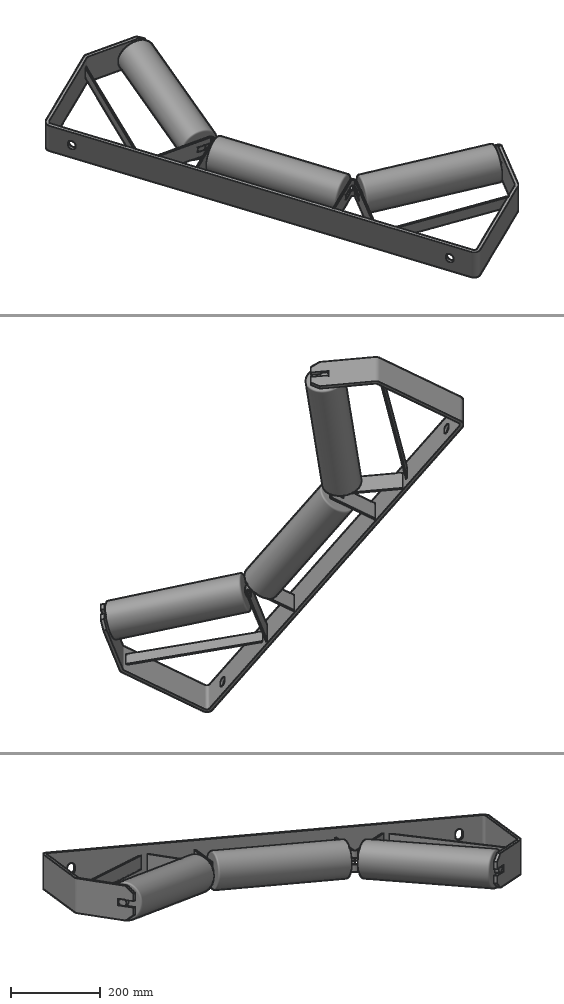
import cadquery as cq
import math


frame_length = 1050.0
strip_height = 80.0
strip_thickness = 8.0
strip_bend_radius = 15.0
trough_angle = 40.0
upright_height = 230.0
arm_length = 144.47
arm_tip_length = 20.0
arm_tip_height = 50.0

mounting_slot_x = 457.0
mounting_slot_width = 18.0
mounting_slot_length = 25.0

brace_thickness = 4.0
brace_height = 32.0
brace_top_y = 226.0
brace_foot_x = 292.0

bracket_thickness = 4.0
bracket_height = 50.0
bracket_top_y = 130.0
bracket_bend_radius = 8.0

roller_diameter = 89.0
roller_length = 315.0
roller_edge_radius = 4.0
shaft_diameter = 20.0
shaft_flat_width = 15.0
middle_roller_y = 102.0
inner_seat_drop = 6.85
seat_gap = 6.0
arm_seat_depth = 30.6

slot_clearance = 2.0
slot_cut_depth = 60.0

half_length = frame_length / 2
half_height = strip_height / 2
angle = math.radians(trough_angle)
along_arm = (math.sin(angle), math.cos(angle))
along_roller = (math.cos(angle), -math.sin(angle))
half_span = roller_length / 2 + seat_gap
side_tilt = math.degrees(math.asin(inner_seat_drop / (2 * half_span)))


def offset(point, direction, distance):
    return (point[0] + direction[0] * distance, point[1] + direction[1] * distance)


def on_circle(centre, radius, degrees):
    a = math.radians(degrees)
    return offset(centre, (math.cos(a), math.sin(a)), radius)


def centred_plate(outline, height):
    """Close an XY outline and extrude it evenly about Z = 0."""
    return outline.close().extrude(height).translate((0, 0, -height / 2))


base_bend = (-half_length + strip_bend_radius, strip_bend_radius)
arm_bend = (base_bend[0], upright_height)
arm_start = 180 - trough_angle
outer_tip = offset(on_circle(arm_bend, strip_bend_radius, arm_start), along_arm, arm_length)
inner_tip = offset(outer_tip, along_roller, strip_thickness)

outer_seat = offset(inner_tip, along_arm, -arm_seat_depth)
side_centre = offset(outer_seat, along_roller, half_span)
inner_seat = offset(side_centre, along_roller, half_span)


def place_middle(shape):
    return shape.translate((0, middle_roller_y, -inner_seat_drop))


def place_left(shape):
    tilted = shape.rotate((0, 0, 0), (0, 1, 0), side_tilt)
    sloped = tilted.rotate((0, 0, 0), (0, 0, 1), -trough_angle)
    return sloped.translate((*side_centre, -inner_seat_drop / 2))


def seat_slot(end, plate_thickness):
    """Cutter for the shaft at one end (-1 or 1) of a roller along X, open towards +Y."""
    middle = half_span + plate_thickness / 2
    return (
        cq.Workplane("XY")
        .box(plate_thickness + 2 * slot_clearance, slot_cut_depth, shaft_flat_width)
        .translate((end * middle, (slot_cut_depth - shaft_diameter) / 2, 0))
    )


def bent_strip():
    """Left half of the strip: base, upright and inclined arm."""
    inner_radius = strip_bend_radius - strip_thickness
    arm_middle = 180 - trough_angle / 2
    outline = (
        cq.Workplane("XY")
        .moveTo(0, 0)
        .lineTo(base_bend[0], 0)
        .threePointArc(on_circle(base_bend, strip_bend_radius, 225), (-half_length, base_bend[1]))
        .lineTo(-half_length, upright_height)
        .threePointArc(
            on_circle(arm_bend, strip_bend_radius, arm_middle),
            on_circle(arm_bend, strip_bend_radius, arm_start),
        )
        .lineTo(*outer_tip)
        .lineTo(*inner_tip)
        .lineTo(*on_circle(arm_bend, inner_radius, arm_start))
        .threePointArc(
            on_circle(arm_bend, inner_radius, arm_middle),
            on_circle(arm_bend, inner_radius, 180),
        )
        .lineTo(*on_circle(base_bend, inner_radius, 180))
        .threePointArc(
            on_circle(base_bend, inner_radius, 225),
            on_circle(base_bend, inner_radius, 270),
        )
        .lineTo(0, strip_thickness)
    )
    strip = centred_plate(outline, strip_height)
    for side in (1, -1):
        strip = strip.cut(arm_taper(side))
    return strip.cut(mounting_slot()).cut(place_left(seat_slot(-1, strip_thickness)))


def arm_taper(side):
    """Wedge that tapers the upper (1) or lower (-1) edge of the arm towards its tip."""
    tip_plane = cq.Plane(
        origin=(*outer_tip, 0),
        xDir=(*along_arm, 0),
        normal=(*along_roller, 0),
    )
    return (
        cq.Workplane(tip_plane)
        .moveTo(0, side * half_height)
        .lineTo(-arm_tip_length, side * half_height)
        .lineTo(0, side * arm_tip_height / 2)
        .close()
        .extrude(2 * strip_thickness, both=True)
    )


def mounting_slot():
    return (
        cq.Workplane("XZ")
        .center(-mounting_slot_x, 0)
        .slot2D(mounting_slot_length, mounting_slot_width, 90)
        .extrude(-strip_thickness)
    )


def brace():
    """Flat bar from the upright to the base, its ends run halfway into the strip."""
    top = (-half_length + strip_thickness, brace_top_y)
    foot = (-brace_foot_x, strip_thickness)
    length = math.dist(top, foot)
    direction = ((foot[0] - top[0]) / length, (foot[1] - top[1]) / length)
    below = (direction[1], -direction[0])
    start = offset(top, direction, -strip_thickness / 2)
    end = offset(foot, direction, strip_thickness / 2)
    outline = (
        cq.Workplane("XY")
        .moveTo(*start)
        .lineTo(*end)
        .lineTo(*offset(end, below, brace_thickness))
        .lineTo(*offset(start, below, brace_thickness))
    )
    return centred_plate(outline, brace_height)


def bracket():
    """Folded plate: an upright leg for the middle roller and a sloping leg for the side roller."""
    foot_y = strip_thickness / 2
    inside_top_y = bracket_top_y - bracket_thickness
    fold_y = bracket_top_y - bracket_bend_radius
    fold_x = -half_span - bracket_bend_radius
    upper_face = inner_seat
    lower_face = offset(inner_seat, along_roller, bracket_thickness)

    def sloping_point(face, y):
        return offset(face, along_arm, (y - face[1]) / along_arm[1])

    outline = (
        cq.Workplane("XY")
        .moveTo(-half_span, foot_y)
        .lineTo(-half_span, fold_y)
        .radiusArc((fold_x, bracket_top_y), -bracket_bend_radius)
        .lineTo(*sloping_point(upper_face, bracket_top_y))
        .lineTo(*sloping_point(upper_face, foot_y))
        .lineTo(*sloping_point(lower_face, foot_y))
        .lineTo(*sloping_point(lower_face, inside_top_y))
        .lineTo(fold_x, inside_top_y)
        .radiusArc((-half_span - bracket_thickness, fold_y), bracket_bend_radius - bracket_thickness)
        .lineTo(-half_span - bracket_thickness, foot_y)
    )
    folded = centred_plate(outline, bracket_height).translate((0, 0, -inner_seat_drop))
    middle_slot = place_middle(seat_slot(-1, bracket_thickness))
    side_slot = place_left(seat_slot(1, bracket_thickness))
    return folded.cut(middle_slot).cut(side_slot)


half_frame = bent_strip().union(brace()).union(bracket())
frame = half_frame.union(half_frame.mirror("YZ"))


def roller():
    """Roller along X, centred on the origin, with flatted shaft ends."""
    shaft_length = 2 * (half_span + bracket_thickness)
    shell = (
        cq.Workplane("YZ", origin=(-roller_length / 2, 0, 0))
        .circle(roller_diameter / 2)
        .extrude(roller_length)
        .edges("%CIRCLE")
        .fillet(roller_edge_radius)
    )
    round_shaft = (
        cq.Workplane("YZ", origin=(-shaft_length / 2, 0, 0))
        .circle(shaft_diameter / 2)
        .extrude(shaft_length)
    )
    flats = cq.Workplane("XY").box(shaft_length, shaft_diameter, shaft_flat_width)
    return shell.union(round_shaft.intersect(flats))


left_roller = place_left(roller())
rollers = [place_middle(roller()), left_roller, left_roller.mirror("YZ")]

result = cq.Compound.makeCompound([frame.val(), *[body.val() for body in rollers]])